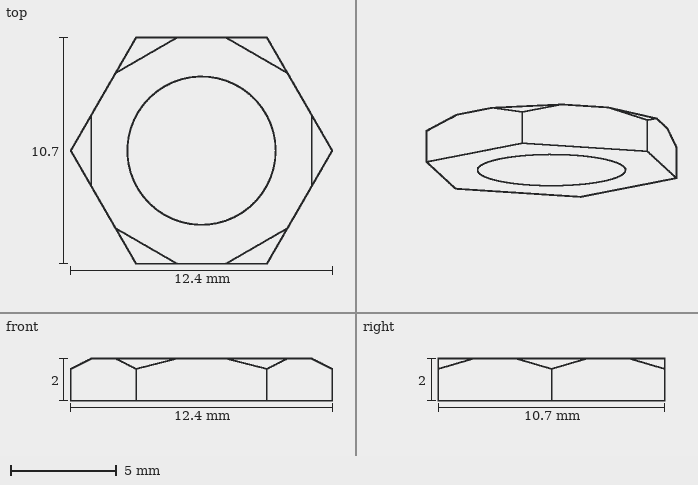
import cadquery as cq

width_across_corners = 12.36
thickness = 2.0
hole_diameter = 7.0

bevel_inset = 0.98
bevel_drop = 0.5

corner_count = 6
corner_radius = width_across_corners / 2


def make_hex_ring():
    """Hexagonal plate with a plain through hole."""
    return (
        cq.Workplane("XY")
        .polygon(corner_count, width_across_corners)
        .circle(hole_diameter / 2)
        .extrude(thickness)
    )


def make_corner_cutter():
    """Triangular prism that bevels the upper corner on +X."""
    return (
        cq.Workplane("XZ")
        .moveTo(corner_radius - bevel_inset, thickness)
        .lineTo(corner_radius, thickness)
        .lineTo(corner_radius, thickness - bevel_drop)
        .close()
        .extrude(corner_radius / 2, both=True)
    )


result = make_hex_ring()
corner_cutter = make_corner_cutter()
for corner in range(corner_count):
    angle = corner * 360 / corner_count
    result = result.cut(corner_cutter.rotate((0, 0, 0), (0, 0, 1), angle))